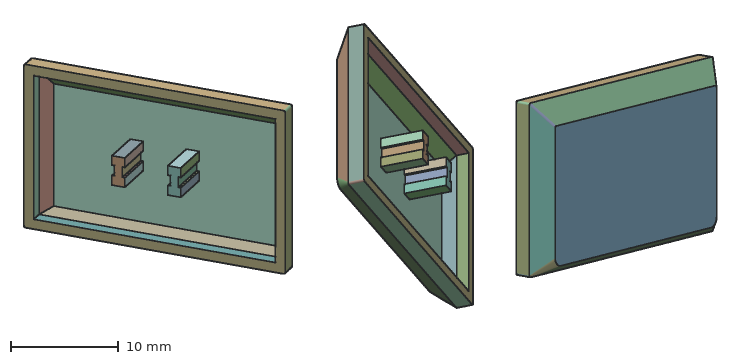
import cadquery as cq
import math

length = 26.6
height = 16.6
rim_depth = 1.6
bevel_depth = 1.78
corner_radius = 0.2

back_side_inset = 1.6
back_top_inset = 2.2
back_bottom_inset = 0.98
back_bottom_radius = 0.85

wall = 1.0
mouth_depth = 1.25
pocket_depth = 2.35
floor_side_inset = 1.0
floor_top_inset = 1.57
floor_bottom_inset = 0.59

peg_spacing = 5.7
peg_width = 1.3
peg_height = 2.98
peg_projection = 1.85
peg_web_width = 0.8
peg_groove_height = 1.05


def xz_plane(y):
    """Sketch plane at depth y, with sketch axes along X and Z."""
    return cq.Workplane(cq.Plane(origin=(0, y, 0), xDir=(1, 0, 0), normal=(0, -1, 0)))


def rounded_outline(y, half_x, bottom, top, bottom_radius, top_radius):
    """Closed rectangular wire at depth y with separate bottom and top corner radii."""
    bottom_sag = bottom_radius * (1 - math.sqrt(0.5))
    top_sag = top_radius * (1 - math.sqrt(0.5))
    sketch = (
        xz_plane(y)
        .moveTo(-half_x + bottom_radius, bottom)
        .lineTo(half_x - bottom_radius, bottom)
        .threePointArc((half_x - bottom_sag, bottom + bottom_sag), (half_x, bottom + bottom_radius))
        .lineTo(half_x, top - top_radius)
        .threePointArc((half_x - top_sag, top - top_sag), (half_x - top_radius, top))
        .lineTo(-half_x + top_radius, top)
        .threePointArc((-half_x + top_sag, top - top_sag), (-half_x, top - top_radius))
        .lineTo(-half_x, bottom + bottom_radius)
        .threePointArc((-half_x + bottom_sag, bottom + bottom_sag), (-half_x + bottom_radius, bottom))
        .close()
    )
    return sketch.wires().val()


def rectangle_outline(y, half_x, bottom, top):
    """Closed sharp-cornered rectangular wire at depth y."""
    sketch = xz_plane(y).center(0, (bottom + top) / 2).rect(2 * half_x, top - bottom)
    return sketch.wires().val()


def ruled_solid(*outlines):
    """Solid with straight walls running between successive outlines."""
    return cq.Workplane(cq.Solid.makeLoft(list(outlines), True))


def make_body():
    """Straight rim with rounded corners, tapering to the smaller back face."""
    half_x = length / 2
    half_z = height / 2
    rim = [half_x, -half_z, half_z, corner_radius, corner_radius]
    back = rounded_outline(
        rim_depth + bevel_depth,
        half_x - back_side_inset,
        -half_z + back_bottom_inset,
        half_z - back_top_inset,
        back_bottom_radius,
        corner_radius,
    )
    return ruled_solid(rounded_outline(0, *rim), rounded_outline(rim_depth, *rim), back)


def make_pocket():
    """Volume removed from the open side of the plate."""
    half_x = length / 2 - wall
    half_z = height / 2 - wall
    mouth = [half_x, -half_z, half_z]
    floor = rectangle_outline(
        pocket_depth,
        half_x - floor_side_inset,
        -half_z + floor_bottom_inset,
        half_z - floor_top_inset,
    )
    return ruled_solid(rectangle_outline(0, *mouth), rectangle_outline(mouth_depth, *mouth), floor)


def make_peg(x):
    """Peg from the pocket floor to beyond the rim, grooved along both sides."""
    peg_length = pocket_depth + peg_projection
    flange_height = (peg_height - peg_groove_height) / 2
    flange_z = (peg_height - flange_height) / 2
    base = xz_plane(pocket_depth).center(x, 0)
    web = base.rect(peg_web_width, peg_height).extrude(peg_length)
    flanges = (
        base.pushPoints([(0, -flange_z), (0, flange_z)])
        .rect(peg_width, flange_height)
        .extrude(peg_length)
    )
    return web.union(flanges)


result = make_body().cut(make_pocket())
for side in (-1, 1):
    result = result.union(make_peg(side * peg_spacing / 2))